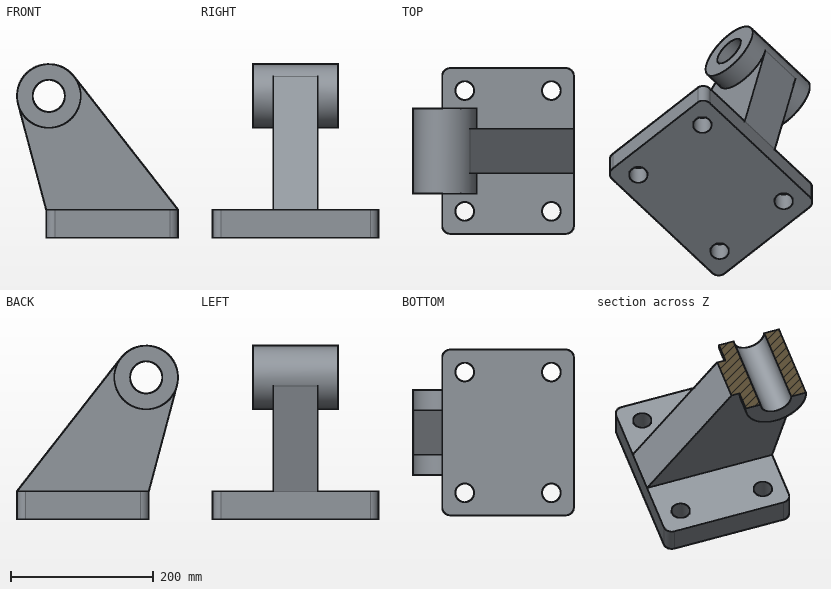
import cadquery as cq
import math

base_length = 186.0
base_width = 234.0
base_thickness = 40.0
corner_radius = 12.0
hole_diameter = 26.0
hole_spacing_x = 122.0
hole_spacing_y = 170.0

total_height = 245.0
barrel_diameter = 90.0
barrel_radius = barrel_diameter / 2
bore_diameter = barrel_diameter / 2
barrel_length = 120.0
barrel_offset = 4.0
barrel_x = barrel_offset - base_length / 2
barrel_z = total_height - barrel_radius

web_width = 63.0


def tangent_point(x, z, side):
    """Point where a line from (x, z) touches the barrel; side is +1 for its +X flank, -1 for its -X flank."""
    dx = x - barrel_x
    dz = z - barrel_z
    direction = math.atan2(dz, dx)
    angle = direction + side * math.acos(barrel_radius / math.hypot(dx, dz))
    return (
        barrel_x + barrel_radius * math.cos(angle),
        barrel_z + barrel_radius * math.sin(angle),
    )


def make_base():
    plate = cq.Workplane("XY").box(
        base_length, base_width, base_thickness, centered=(True, True, False)
    )
    return (
        plate.edges("|Z")
        .fillet(corner_radius)
        .faces(">Z")
        .workplane()
        .rarray(hole_spacing_x, hole_spacing_y, 2, 2)
        .hole(hole_diameter)
    )


def barrel_cylinder(diameter):
    return (
        cq.Workplane("XZ")
        .center(barrel_x, barrel_z)
        .circle(diameter / 2)
        .extrude(barrel_length / 2, both=True)
    )


def make_web():
    left_foot = (-base_length / 2, base_thickness)
    right_foot = (base_length / 2, base_thickness)
    outline = [
        left_foot,
        right_foot,
        tangent_point(*right_foot, side=1),
        (barrel_x, barrel_z),
        tangent_point(*left_foot, side=-1),
    ]
    return cq.Workplane("XZ").polyline(outline).close().extrude(web_width / 2, both=True)


body = make_base().union(make_web()).union(barrel_cylinder(barrel_diameter))
result = body.cut(barrel_cylinder(bore_diameter))